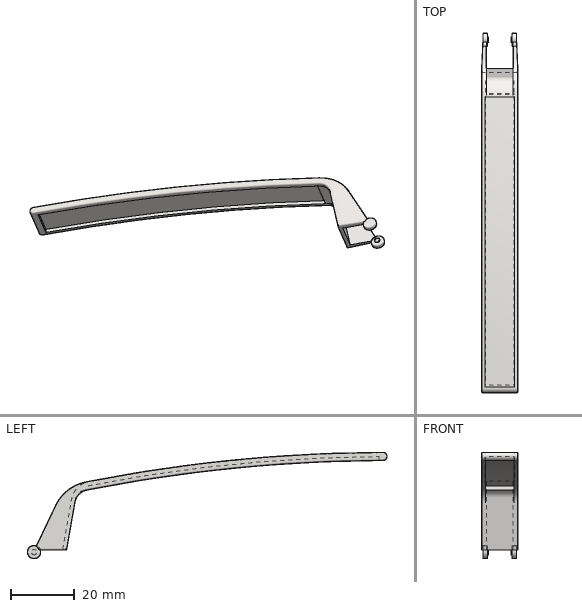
import cadquery as cq
import math

width = 11.5
half_width = width / 2
length = 113.3
top_height = 33.5

arm_radius = 487.2
arm_thickness = 2.6
arm_center_z = top_height - arm_radius
under_radius = arm_radius - arm_thickness
nose_radius = arm_thickness / 2
middle_radius = arm_radius - nose_radius
nose_angle = math.asin(nose_radius / middle_radius)

wall = 1.2
leg_foot_y = 101.0
leg_foot_z = 2.7
leg_lean = math.radians(10)
plate_back_y = leg_foot_y + wall / math.cos(leg_lean)
rim_corner_radius = 4.8
middle_corner_radius = 2.6
outer_corner_radius = 7.1

cheek_thickness = 1.5
cheek_taper = 0.4
cheek_start_y = 92.9
cheek_foot_end_y = 109.9
cheek_neck_y = 110.6
cheek_neck_z = 3.9
cheek_back_lean = math.radians(25.5)
cheek_corner_radius = 13.6
edge_fillet = 0.5

disc_radius = 2.1
disc_y = length - disc_radius
disc_z = disc_radius
disc_thickness = 1.5
disc_inner_x = half_width - cheek_taper - disc_thickness
disc_edge_fillet = 0.3
pin_radius = 0.85
pin_height = 0.3

panel_half_width = 4.6
panel_start_y = 1.9
panel_end_y = 93.3
panel_depth = 0.1
pocket_half_width = half_width - wall
pocket_start_y = 2.5
pocket_end_y = 94.3
pocket_depth = 1.2
pocket_overshoot = 0.6


def arc_point(radius, y):
    """Point (y, z) of a circle about the arm's bend axis."""
    return y, arm_center_z + math.sqrt(radius**2 - y**2)


def polar_point(radius, angle):
    """Point (y, z) of such a circle, at an angle from vertical about the bend axis."""
    return radius * math.sin(angle), arm_center_z + radius * math.cos(angle)


def meet_arc(radius, y, z, lean):
    """Point where a line rising from (y, z), leaning toward -Y, meets that circle."""
    step_y = -math.sin(lean)
    step_z = math.cos(lean)
    height = z - arm_center_z
    along = y * step_y + height * step_z
    reach = math.sqrt(along**2 - y**2 - height**2 + radius**2) - along
    return y + reach * step_y, z + reach * step_z


def edges_at(y, z):
    """Selector for edges parallel to X that pass through (y, z)."""
    margin = 0.06
    return cq.selectors.BoxSelector(
        (-width, y - margin, z - margin), (width, y + margin, z + margin)
    )


def both_sides(part):
    """The +X part together with its mirror image on -X."""
    return part.union(part.mirror("YZ"))


inner_corner = meet_arc(under_radius, leg_foot_y, leg_foot_z, leg_lean)
outer_corner = meet_arc(arm_radius, plate_back_y, leg_foot_z, leg_lean)


def make_web(half_span, inner_corner_radius):
    """Arm and leg plate as one bent sheet, centred on x = 0."""
    mid_y = length / 2
    nose_top = polar_point(arm_radius, nose_angle)
    nose_bottom = polar_point(under_radius, nose_angle)
    nose_center = polar_point(middle_radius, nose_angle)
    nose_tip = (
        nose_center[0] - nose_radius * math.cos(nose_angle),
        nose_center[1] + nose_radius * math.sin(nose_angle),
    )
    return (
        cq.Workplane("YZ")
        .moveTo(*nose_top)
        .threePointArc(arc_point(arm_radius, mid_y), outer_corner)
        .lineTo(plate_back_y, leg_foot_z)
        .lineTo(leg_foot_y, leg_foot_z)
        .lineTo(*inner_corner)
        .threePointArc(arc_point(under_radius, mid_y), nose_bottom)
        .threePointArc(nose_tip, nose_top)
        .close()
        .extrude(half_span, both=True)
        .edges(edges_at(*inner_corner))
        .fillet(inner_corner_radius)
        .edges(edges_at(*outer_corner))
        .fillet(outer_corner_radius)
    )


def make_taper_wedge():
    """Wedge that thins the outside of the +X cheek from the leg plate to the hinge."""
    run = (disc_y - plate_back_y) * math.cos(leg_lean)
    up_leg = (0, -math.sin(leg_lean), math.cos(leg_lean))
    foot = cq.Plane(origin=(0, plate_back_y, leg_foot_z), xDir=(1, 0, 0), normal=up_leg)
    overshoot = 2
    return (
        cq.Workplane(foot)
        .moveTo(half_width, 0)
        .lineTo(half_width, overshoot * run)
        .lineTo(half_width - overshoot * cheek_taper, overshoot * run)
        .close()
        .extrude(top_height, both=True)
    )


def make_cheek():
    """Side plate on +X joining the leg to its hinge disc."""
    back_corner = meet_arc(arm_radius, cheek_neck_y, cheek_neck_z, cheek_back_lean)
    mid_y = (cheek_start_y + back_corner[0]) / 2
    plate = (
        cq.Workplane("YZ", origin=(half_width - cheek_thickness, 0, 0))
        .moveTo(plate_back_y, leg_foot_z)
        .lineTo(cheek_foot_end_y, leg_foot_z)
        .lineTo(cheek_neck_y, cheek_neck_z)
        .lineTo(*back_corner)
        .threePointArc(arc_point(arm_radius, mid_y), arc_point(arm_radius, cheek_start_y))
        .lineTo(*inner_corner)
        .close()
        .extrude(cheek_thickness)
        .edges(edges_at(*back_corner))
        .fillet(cheek_corner_radius)
    )
    return plate.cut(make_taper_wedge())


def round_side_edges(part):
    """Round the outline of the outer side faces, both flat and tapered."""
    reach = half_width - cheek_taper
    right = cq.selectors.BoxSelector((reach, 0, 0), (width, length, top_height))
    left = cq.selectors.BoxSelector((-width, 0, 0), (-reach, length, top_height))
    return part.faces(right + left).edges().fillet(edge_fillet)


def make_strip(start_y, end_y, outer_radius, thickness, half_span):
    """Slab bent about the arm's axis, with ends square to the arm, centred on x = 0."""
    inner_radius = outer_radius - thickness
    start = math.asin(start_y / outer_radius)
    end = math.asin(end_y / outer_radius)
    middle = (start + end) / 2
    return (
        cq.Workplane("YZ")
        .moveTo(*polar_point(outer_radius, start))
        .threePointArc(polar_point(outer_radius, middle), polar_point(outer_radius, end))
        .lineTo(*polar_point(inner_radius, end))
        .threePointArc(polar_point(inner_radius, middle), polar_point(inner_radius, start))
        .close()
        .extrude(half_span, both=True)
    )


def make_hinge():
    """Rounded disc with a pin on its inner side, at the end of the +X cheek."""
    inner_face = cq.Workplane("YZ", origin=(disc_inner_x, disc_y, disc_z))
    disc = inner_face.circle(disc_radius).extrude(disc_thickness).edges().fillet(disc_edge_fillet)
    pin = inner_face.circle(pin_radius).extrude(-pin_height)
    return disc.union(pin)


web = make_web(half_width, rim_corner_radius)
handle = web.union(both_sides(make_cheek())).clean()
handle = round_side_edges(handle)

sharper_web = make_web(pocket_half_width, middle_corner_radius)
relief = make_web(pocket_half_width, rim_corner_radius).cut(sharper_web)
handle = handle.cut(relief)

panel = make_strip(panel_start_y, panel_end_y, arm_radius, panel_depth, panel_half_width)
pocket = make_strip(
    pocket_start_y,
    pocket_end_y,
    under_radius + pocket_depth,
    pocket_depth + pocket_overshoot,
    pocket_half_width,
)
handle = handle.cut(panel).cut(pocket)

result = handle.union(both_sides(make_hinge()))